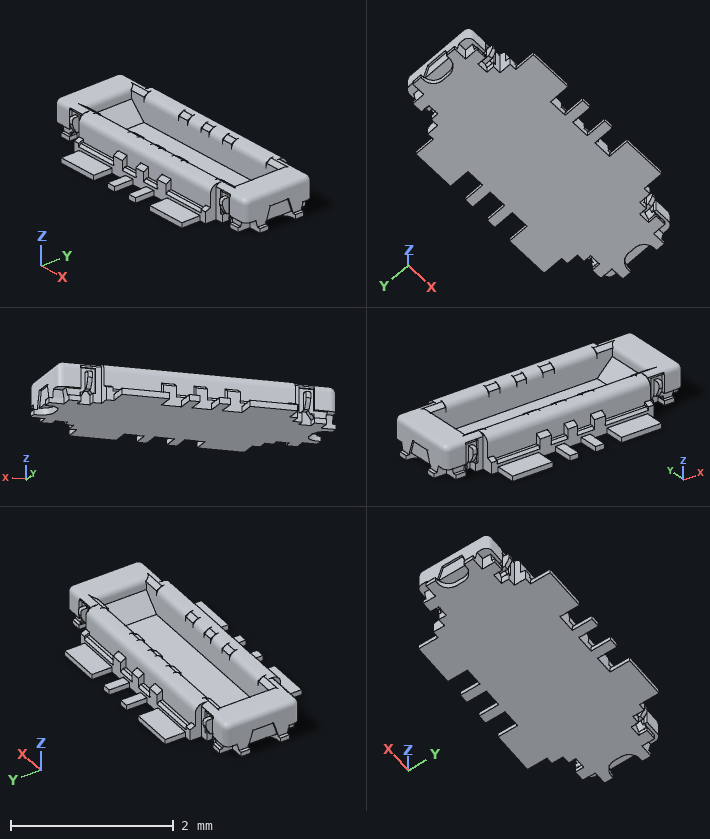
import cadquery as cq

total_length = 3.74
total_width = 2.0
total_height = 0.5

shell_length = 3.643
shell_width = 1.092
shell_radius = 0.09
shell_skirt_z = 0.17
leg_side_y = 0.355
leg_side_x = 1.675
leg_flare = 0.025
leg_face_y = 0.5

foot_height = 0.067
foot_inner_y = 0.217
foot_inner_x = 1.52

arch_height = 0.085
arch_radius = 0.165
panel_top_z = 0.29
panel_top_width = 0.3
panel_depth = 0.025

relief_y = 0.53
relief_top_z = 0.47
window_inner_x = 1.325
window_bottom_z = 0.12
window_top_z = 0.438
slot_inner_x = 1.36
slot_depth = 0.112

hook_x = 1.42
hook_thickness = 0.06
hook_reach_y = 0.602
hook_bottom_z = 0.165
hook_top_z = 0.385

rail_length = 2.49
rail_width = 1.405
wall_width = 1.25
wall_radius = 0.12
ledge_top_z = 0.157
ledge_bevel = 0.0355
tab_outer_z = 0.17
tab_inner_z = 0.202
post_outer_z = 0.258
post_inner_z = 0.303
post_spans = [(-0.5, -0.33), (-0.075, 0.075), (0.33, 0.5)]

tail_height = 0.08
tail_spans = [(-1.145, -0.525), (-0.265, -0.127), (0.127, 0.265), (0.525, 1.145)]

floor_z = 0.105
floor_length = 2.31
cavity_width = 0.703
mouth_length = 2.962
mouth_bevel = 0.08
mouth_bevel_drop = 0.045
mouth_end_radius = 0.095
slope_top_z = 0.34
lip_radius = 0.112


def block(x0, x1, y0, y1, z0, z1):
    """Box between two opposite corners."""
    return cq.Workplane("XY").box(x1 - x0, y1 - y0, z1 - z0, centered=False).translate((x0, y0, z0))


def along_x(profile, x0, x1):
    """Extrude a closed YZ profile from x0 to x1."""
    return profile.extrude(x1 - x0).translate((x0, 0, 0))


def both_y(shape):
    return shape.union(shape.mirror("XZ"))


def both_x(shape):
    return shape.union(shape.mirror("YZ"))


def all_corners(shape):
    return both_x(both_y(shape))


def leg_block(plane, foot_half, reach):
    """Block across the part whose sides flare out above the feet, up to the skirt."""
    skirt_half = foot_half + leg_flare
    return cq.Workplane(plane).polyline([
        (-foot_half, 0), (foot_half, 0), (foot_half, foot_height),
        (skirt_half, shell_skirt_z), (-skirt_half, shell_skirt_z), (-foot_half, foot_height),
    ]).close().extrude(reach, both=True)


def make_shell():
    shell = cq.Workplane("XY").box(shell_length, shell_width, total_height, centered=(True, True, False))
    shell = shell.edges("|Z").fillet(shell_radius).faces(">Z").edges().fillet(shell_radius)

    side_leg = leg_block("XZ", leg_side_x, leg_face_y)
    end_leg = leg_block("YZ", leg_side_y, shell_length / 2)
    upper = shell.intersect(block(-total_length, total_length, -total_width, total_width,
                                  shell_skirt_z, total_height))
    middle = block(-foot_inner_x, foot_inner_x, -shell_width / 2, shell_width / 2, 0, shell_skirt_z)
    return upper.union(side_leg).union(end_leg).union(middle)


def make_feet():
    end_foot = block(leg_side_x, total_length / 2, foot_inner_y, leg_side_y, 0, foot_height)
    side_foot = block(foot_inner_x, leg_side_x, leg_side_y, shell_width / 2, 0, foot_height)
    return all_corners(end_foot.union(side_foot))


def make_end_recesses():
    """Rounded arch under each end and the shallow tapered panel above it."""
    end_x = shell_length / 2
    arch = block(end_x - arch_radius, total_length, -foot_inner_y, foot_inner_y, 0, arch_height)
    arch = arch.edges("|Z and <X").fillet(arch_radius)
    panel = along_x(cq.Workplane("YZ").polyline([
        (-foot_inner_y, arch_height), (foot_inner_y, arch_height),
        (panel_top_width / 2, panel_top_z), (-panel_top_width / 2, panel_top_z),
    ]).close(), end_x - panel_depth, end_x)
    return both_x(arch.union(panel))


def make_window_cuts():
    """Relief, window and slot that hold the spring hook at each corner."""
    outside_y = total_width / 2
    relief = block(rail_length / 2, foot_inner_x, relief_y, outside_y, 0, relief_top_z)
    window = block(window_inner_x, foot_inner_x, leg_face_y, outside_y, window_bottom_z, window_top_z)
    hook_inner = hook_x - hook_thickness / 2
    hook_outer = hook_x + hook_thickness / 2
    slot = cq.Workplane("XZ").polyline([
        (slot_inner_x, 0), (foot_inner_x, 0), (foot_inner_x, foot_height),
        (hook_outer, hook_bottom_z), (hook_inner, hook_bottom_z), (slot_inner_x, window_bottom_z),
    ]).close().extrude(-outside_y).translate((0, relief_y - slot_depth, 0))
    return all_corners(relief.union(window).union(slot))


def make_hooks():
    nose_round = 0.035
    nose_bottom_z = 0.3
    bend_y = 0.585
    bend_z = 0.243
    bottom_y = 0.535
    root_y = relief_y - slot_depth
    profile = (
        cq.Workplane("YZ")
        .moveTo(root_y, hook_bottom_z)
        .lineTo(bottom_y, hook_bottom_z)
        .lineTo(bend_y, bend_z)
        .lineTo(hook_reach_y, nose_bottom_z)
        .lineTo(hook_reach_y, hook_top_z - nose_round)
        .radiusArc((hook_reach_y - nose_round, hook_top_z), -nose_round)
        .lineTo(root_y, hook_top_z)
        .close()
    )
    half = hook_thickness / 2
    return all_corners(along_x(profile, hook_x - half, hook_x + half))


def make_rail_section():
    """Raised middle wall with stepped ledges, end tabs and posts on both sides."""
    wall_y = wall_width / 2
    rail_y = rail_width / 2
    end_x = rail_length / 2
    wall = block(-end_x, end_x, -wall_y, wall_y, 0, total_height)
    wall = wall.edges("|X and >Z").fillet(wall_radius)

    ledge = along_x(cq.Workplane("YZ").polyline([
        (0, 0), (rail_y, 0), (rail_y, ledge_top_z - ledge_bevel),
        (rail_y - ledge_bevel, ledge_top_z), (0, ledge_top_z),
    ]).close(), -end_x, end_x)

    def sloped_bar(x0, x1, outer_z, inner_z):
        return along_x(cq.Workplane("YZ").polyline([
            (0, 0), (rail_y, 0), (rail_y, outer_z), (wall_y, inner_z), (0, inner_z),
        ]).close(), x0, x1)

    side = ledge.union(both_x(sloped_bar(floor_length / 2, end_x, tab_outer_z, tab_inner_z)))
    for x0, x1 in post_spans:
        side = side.union(sloped_bar(x0, x1, post_outer_z, post_inner_z))
    return wall.union(both_y(side))


def make_tails():
    tails = cq.Workplane("XY")
    for x0, x1 in tail_spans:
        tails = tails.union(block(x0, x1, -total_width / 2, total_width / 2, 0, tail_height))
    return tails


def make_cavity():
    """Cavity with sloped ends, bevelled mouth and rounded contact lips."""
    half_y = cavity_width / 2
    mouth_x = mouth_length / 2
    wall_x = mouth_x - mouth_end_radius
    floor_x = floor_length / 2
    mouth_y = half_y + mouth_bevel

    length_cut = (
        cq.Workplane("XZ")
        .moveTo(-floor_x, floor_z)
        .lineTo(floor_x, floor_z)
        .lineTo(wall_x, slope_top_z)
        .lineTo(wall_x, total_height - mouth_end_radius)
        .radiusArc((mouth_x, total_height), mouth_end_radius)
        .lineTo(-mouth_x, total_height)
        .radiusArc((-wall_x, total_height - mouth_end_radius), mouth_end_radius)
        .lineTo(-wall_x, slope_top_z)
        .close()
        .extrude(mouth_y, both=True)
    )
    bevel_z = total_height - mouth_bevel_drop
    width_cut = along_x(cq.Workplane("YZ").polyline([
        (-half_y, floor_z), (half_y, floor_z), (half_y, bevel_z), (mouth_y, total_height),
        (-mouth_y, total_height), (-half_y, bevel_z),
    ]).close(), -mouth_x, mouth_x)
    cavity = length_cut.intersect(width_cut)

    lip_z = total_height - lip_radius
    edges = [-floor_x] + [x for span in post_spans for x in span] + [floor_x]
    for x0, x1 in zip(edges[0::2], edges[1::2]):
        lip_cut = (
            cq.Workplane("YZ")
            .moveTo(0, lip_z)
            .lineTo(half_y, lip_z)
            .radiusArc((half_y + lip_radius, total_height), lip_radius)
            .lineTo(0, total_height)
            .close()
        )
        cavity = cavity.union(both_y(along_x(lip_cut, x0, x1)))
    return cavity


result = (
    make_shell()
    .union(make_feet())
    .cut(make_end_recesses())
    .cut(make_window_cuts())
    .union(make_hooks())
    .union(make_rail_section())
    .union(make_tails())
    .cut(make_cavity())
)